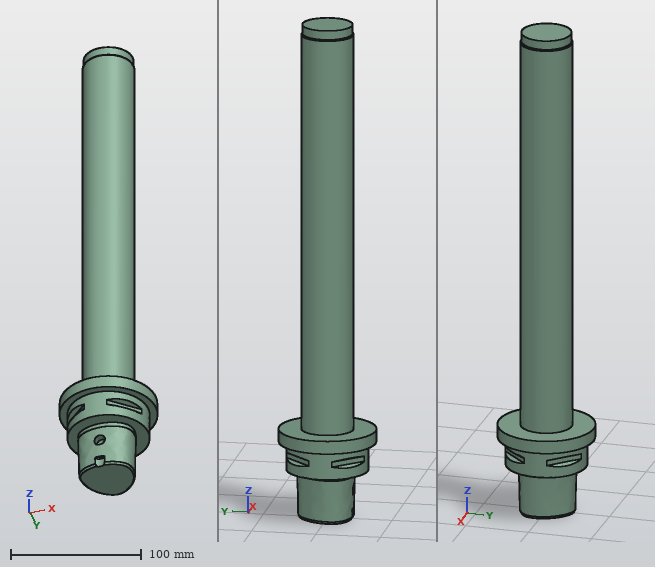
import cadquery as cq
import math

SHANK_LENGTH = 38.0
COLLAR_HEIGHT = 22.0
FLANGE_HEIGHT = 10.0
OVERALL_LENGTH = 390.0
TIP_LENGTH = 7.0
BAR_CHAMFER_HEIGHT = 1.0

COLLAR_DIAMETER = 63.0
FLANGE_DIAMETER = 75.0
BAR_DIAMETER = 40.0
TIP_DIAMETER = 38.5

SHANK_WIDTH = 44.6
LOBE_HEIGHT = 1.3
SHANK_TAPER = 1 / 20
LOBES = 3
PROFILE_POINTS = 72
SHANK_CHAMFER_HEIGHT = 2.0
SHANK_CHAMFER_INSET = 1.0
RELIEF_HEIGHT = 3.5
RELIEF_INSET = 0.1

HOLE_DIAMETER = 8.5
HOLE_HEIGHT = 23.0
HOLE_DEPTH = 6.0
HOLE_POINT_ANGLE = 118.0
NOTCH_RADIUS = 5.0
NOTCH_HEIGHT = 8.0
NOTCH_DEPTH = 2.0
NOTCH_TOP_CHAMFER = 1.0

SLOT_COUNT = 4
SLOT_CHORD = 30.0
SLOT_HEIGHT = 12.0
SLOT_FLOOR_WIDTH = 4.0
SLOT_MOUTH_WIDTH = 7.5

shank_end = -SHANK_LENGTH
flange_top = COLLAR_HEIGHT + FLANGE_HEIGHT
tip_end = OVERALL_LENGTH - SHANK_LENGTH
shoulder = tip_end - TIP_LENGTH


def disc(diameter, bottom, top):
    """Round section between two heights."""
    return cq.Workplane("XY").workplane(offset=bottom).circle(diameter / 2).extrude(top - bottom)


def lobed_section(z, inset=0.0):
    """Points of the constant-width lobed outline at height z."""
    mean_radius = (SHANK_WIDTH + SHANK_TAPER * z) / 2 - inset
    points = []
    for i in range(PROFILE_POINTS):
        angle = 2 * math.pi * i / PROFILE_POINTS
        phase = LOBES * (angle - math.pi / 2)
        reach = mean_radius + LOBE_HEIGHT * math.cos(phase)
        slide = -LOBES * LOBE_HEIGHT * math.sin(phase)
        x = reach * math.cos(angle) - slide * math.sin(angle)
        y = reach * math.sin(angle) + slide * math.cos(angle)
        points.append((x, y))
    return points


def lobed_loft(bottom, top, bottom_inset=0.0, top_inset=0.0):
    """Solid between the lobed outlines at two heights."""
    lower = cq.Workplane("XY").workplane(offset=bottom)
    lower = lower.spline(lobed_section(bottom, bottom_inset), periodic=True).close()
    upper = lower.workplane(offset=top - bottom)
    return upper.spline(lobed_section(top, top_inset), periodic=True).close().loft(ruled=True)


def make_shank():
    """Tapered shank with end chamfer and a shallow relief under the collar."""
    chamfer_top = shank_end + SHANK_CHAMFER_HEIGHT
    chamfer = lobed_loft(shank_end, chamfer_top, bottom_inset=SHANK_CHAMFER_INSET)
    taper = lobed_loft(chamfer_top, -RELIEF_HEIGHT)
    relief = lobed_loft(-RELIEF_HEIGHT, 0, RELIEF_INSET, RELIEF_INSET)
    return chamfer.union(taper).union(relief)


def shank_front(z):
    """Y position of the shank's -Y side at height z."""
    return -(SHANK_WIDTH + SHANK_TAPER * z) / 2 + LOBE_HEIGHT


def radial_hole():
    """Blind drilled hole with a conical bottom, entering from -Y."""
    z = shank_end + HOLE_HEIGHT
    floor = shank_front(z) + HOLE_DEPTH
    radius = HOLE_DIAMETER / 2
    point = radius / math.tan(math.radians(HOLE_POINT_ANGLE / 2))
    half_profile = [(0, floor + point), (radius, floor), (radius, -SHANK_WIDTH), (0, -SHANK_WIDTH)]
    drill = cq.Workplane("XY").polyline(half_profile).close().revolve(360, (0, 0), (0, 1))
    return drill.translate((0, 0, z))


def key_notch():
    """Upright round scallop in the -Y side, open at the shank end and chamfered at its top."""
    center_y = shank_front(shank_end) + NOTCH_DEPTH - NOTCH_RADIUS
    cutter = disc(2 * NOTCH_RADIUS, shank_end, shank_end + NOTCH_HEIGHT)
    return cutter.faces(">Z").edges().chamfer(NOTCH_TOP_CHAMFER).translate((0, center_y, 0))


def gripper_slots():
    """Straight slots with sloped flanks cut across the collar."""
    radius = COLLAR_DIAMETER / 2
    floor = math.sqrt(radius**2 - (SLOT_CHORD / 2) ** 2)
    depth = radius - floor
    half_floor = SLOT_FLOOR_WIDTH / 2
    half_mouth = SLOT_MOUTH_WIDTH / 2
    profile = [
        (floor, SLOT_HEIGHT - half_floor),
        (floor + depth, SLOT_HEIGHT - half_mouth),
        (floor + depth, SLOT_HEIGHT + half_mouth),
        (floor, SLOT_HEIGHT + half_floor),
    ]
    slot = cq.Workplane("XZ").polyline(profile).close().extrude(radius, both=True)
    pitch = 360 / SLOT_COUNT
    slots = cq.Workplane("XY")
    for i in range(SLOT_COUNT):
        slots = slots.union(slot.rotate((0, 0, 0), (0, 0, 1), pitch * (i + 0.5)))
    return slots


collar = disc(COLLAR_DIAMETER, 0, COLLAR_HEIGHT).cut(gripper_slots())
flange = disc(FLANGE_DIAMETER, COLLAR_HEIGHT, flange_top)
bar = disc(BAR_DIAMETER, flange_top, shoulder)
chamfer_inset = (BAR_DIAMETER - TIP_DIAMETER) / 2
bar = bar.faces(">Z").edges().chamfer(BAR_CHAMFER_HEIGHT, chamfer_inset)
tip = disc(TIP_DIAMETER, shoulder, tip_end)
shank = make_shank().cut(radial_hole()).cut(key_notch())

result = shank.union(collar).union(flange).union(bar).union(tip)